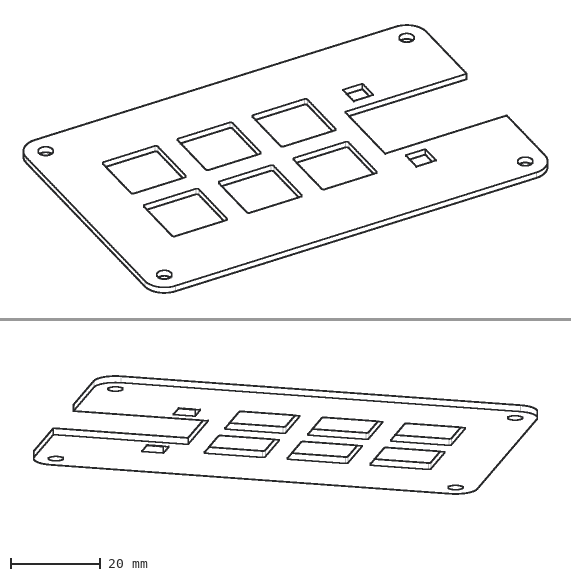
import cadquery as cq

plate_width = 65.0
plate_length = 101.9
plate_thickness = 1.5
corner_radius = 5.0

mount_hole_diameter = 3.4
mount_spacing_x = plate_width - 2 * corner_radius
mount_spacing_y = plate_length - 2 * corner_radius

notch_width = 18.5
notch_depth = 31.0
notch_center_x = 0.5

window_size = 5.0
window_spacing = 29.1
window_center_y = 26.2

key_columns = 2
key_rows = 3
key_size = 14.0
key_pitch = 19.1
key_corner_radius = 0.5
key_grid_center_x = -1.0
key_grid_center_y = -11.1


def make_plate():
    """Flat plate with rounded vertical corners."""
    plate = cq.Workplane("XY").rect(plate_width, plate_length).extrude(plate_thickness)
    return plate.edges("|Z").fillet(corner_radius)


def make_mount_holes():
    """Cutter for one through hole at each corner."""
    holes = cq.Workplane("XY").rect(mount_spacing_x, mount_spacing_y, forConstruction=True)
    return holes.vertices().circle(mount_hole_diameter / 2).extrude(plate_thickness)


def make_notch():
    """Cutter for the rectangular notch in the +Y edge."""
    notch_center_y = plate_length / 2 - notch_depth / 2
    notch = cq.Workplane("XY").center(notch_center_x, notch_center_y)
    return notch.rect(notch_width, notch_depth).extrude(plate_thickness)


def make_windows():
    """Cutter for the two square windows, placed symmetrically about the notch."""
    windows = cq.Workplane("XY").center(notch_center_x, window_center_y)
    windows = windows.rarray(window_spacing, 1, 2, 1)
    return windows.rect(window_size, window_size).extrude(plate_thickness)


def make_key_openings():
    """Cutter for the grid of key openings with slightly rounded corners."""
    openings = cq.Workplane("XY").center(key_grid_center_x, key_grid_center_y)
    openings = openings.rarray(key_pitch, key_pitch, key_columns, key_rows)
    openings = openings.rect(key_size, key_size).extrude(plate_thickness)
    return openings.edges("|Z").fillet(key_corner_radius)


result = (
    make_plate()
    .cut(make_mount_holes())
    .cut(make_notch())
    .cut(make_windows())
    .cut(make_key_openings())
)